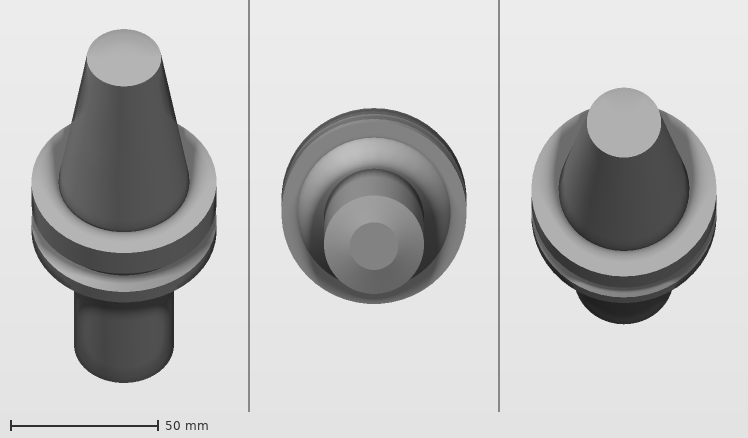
import cadquery as cq

total_height = 155.4
tip_height = 2.8
shank_top = 53.8
flange_bottom = 63.1
flange_top = 89.4
taper_bottom = 90.3

groove_middle = 73.5
groove_floor_width = 4.0
groove_mouth_width = 9.6

tip_diameter = 16.5
shank_diameter = 34.0
cone_top_diameter = 52.0
flange_diameter = 63.0
groove_diameter = 53.0
taper_large_diameter = 44.5
taper_small_diameter = 25.3

profile = [
    (0, 0),
    (tip_diameter, 0),
    (shank_diameter, tip_height),
    (shank_diameter, shank_top),
    (cone_top_diameter, flange_bottom),
    (flange_diameter, flange_bottom),
    (flange_diameter, groove_middle - groove_mouth_width / 2),
    (groove_diameter, groove_middle - groove_floor_width / 2),
    (groove_diameter, groove_middle + groove_floor_width / 2),
    (flange_diameter, groove_middle + groove_mouth_width / 2),
    (flange_diameter, flange_top),
    (taper_large_diameter, flange_top),
    (taper_large_diameter, taper_bottom),
    (taper_small_diameter, total_height),
    (0, total_height),
]

result = (
    cq.Workplane("XZ")
    .polyline([(diameter / 2, height) for diameter, height in profile])
    .close()
    .revolve(360, (0, 0, 0), (0, 1, 0))
)